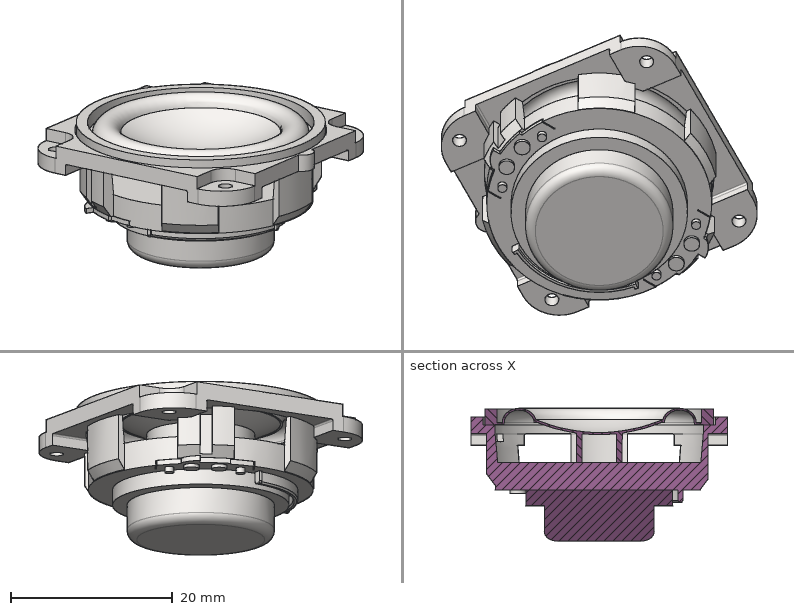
import cadquery as cq
import math

PLATE_BOTTOM = 4.38
BASKET_BOTTOM = 6.3
FLOOR_TOP = 9.75
EAR_BOTTOM = 11.85
FLANGE_BOTTOM = 13.28
EAR_TOP = 13.8
SEAT_HEIGHT = 14.4
FLANGE_TOP = 15.37
RIM_TOP = 16.35
ROLL_TOP = 16.45

OVERALL_LENGTH = 32.7
FLANGE_SIZE = 31.7
CORNER_RADIUS = 5.05
HOLE_OFFSET = 12.9
HOLE_DIAMETER = 1.7
POCKET_RADIUS = 2.2
NOTCH_WIDTH = 18.48
NOTCH_FILLET = 0.23
SEAT_DIAMETER = 31.1
NUB_RADIUS = 1.55
NUB_REACH = OVERALL_LENGTH - FLANGE_SIZE / 2

BASKET_RADIUS = 13.9
BORE_TOP_RADIUS = 14.2
LEG_COUNT = 6
LEG_WIDTH = 7.03
LEG_RADIUS = 14.75
WIDE_LEG_RADIUS = 15.2
LEG_FOOT_RADIUS = 13.83
LEG_TAPER = 1.48
WIRE_SLOT_WIDTH = 1.5
WIRE_SLOT_FLOOR = 14.52
WIRE_WINDOW_BOTTOM = 12.33

TERMINAL_ANGLES = (60, 240)
BOARD_TOP = 6.93
BOARD_WIDTH = 11.97
BOARD_RADIUS = 13.83
BOARD_GAP = 0.13
BOARD_INNER = 10.63
BOARD_STEP_WIDTH = 6.08
BOARD_STEP_RADIUS = 14.22
TAB_MIDDLE = (14.8, 2.05)
STAKE_DIAMETER = 1.1
STAKE_SPACING = 8.83
STAKE_DISTANCE = 11.45
STAKE_BOTTOM = 5.65
PAD_DIAMETER = 1.95
PAD_SPACING = 3.43
PAD_DISTANCE = 12.6
PAD_BOTTOM = 5.9

RIB_OUTER_RADIUS = 12.0
RIB_INNER_RADIUS = 11.4
RIB_BOTTOM = 4.8
RIB_MIDDLE_ANGLE = 315
RIB_SPAN = 83.4
RIB_BEVEL_WIDTH = 0.13
RIB_BEVEL_HEIGHT = 0.25
LUG_RADIUS = 12.35
LUG_SPAN = 1.8

RIM_DIAMETER = 30.8
RIM_BORE = 28.0
ROLL_OUTER_RADIUS = 13.45
ROLL_SECTION_RADIUS = 1.8
ROLL_THICKNESS = 0.25
DISH_RADIUS = 10.0
DISH_EDGE_HEIGHT = 15.1
DISH_DEPTH = 2.52
DISH_THICKNESS = 0.33
COIL_DIAMETER = 13.37
COIL_BORE = 12.8

PLATE_DIAMETER = 21.8
CUP_DIAMETER = 18.2
CUP_FILLET = 1.2


def disc(diameter, bottom, top):
    """Upright cylinder on the Z axis."""
    return cq.Workplane("XY").workplane(offset=bottom).circle(diameter / 2).extrude(top - bottom)


def block(x_min, x_max, width, bottom, top):
    """Box from x_min to x_max, centred on the X axis."""
    box = cq.Workplane("XY").box(x_max - x_min, width, top - bottom, centered=(False, True, False))
    return box.translate((x_min, 0, bottom))


def turned(body, angle):
    """Copy of a body, turned about the Z axis."""
    return body.rotate((0, 0, 0), (0, 0, 1), angle)


def make_flange():
    """Square flange with lowered, rounded ears at its corners and a nub on the +X side."""
    half = FLANGE_SIZE / 2
    ears = (
        cq.Workplane("XY").workplane(offset=EAR_BOTTOM).rect(FLANGE_SIZE, FLANGE_SIZE)
        .extrude(FLANGE_TOP - EAR_BOTTOM)
        .edges("|Z").fillet(CORNER_RADIUS)
    )
    pocket_size = half - HOLE_OFFSET + POCKET_RADIUS
    pocket_middle = half - pocket_size / 2
    pocket = (
        cq.Workplane("XY").workplane(offset=EAR_TOP).center(pocket_middle, pocket_middle)
        .rect(pocket_size, pocket_size).extrude(FLANGE_TOP - EAR_TOP)
        .edges("|Z and <X and <Y").fillet(POCKET_RADIUS)
    )
    flange = ears
    for quarter in range(4):
        flange = flange.cut(turned(pocket, 90 * quarter))
    holes = (
        cq.Workplane("XY").workplane(offset=EAR_BOTTOM)
        .rect(2 * HOLE_OFFSET, 2 * HOLE_OFFSET, forConstruction=True).vertices()
        .circle(HOLE_DIAMETER / 2).extrude(FLANGE_TOP - EAR_BOTTOM)
    )
    notch = block(-half, half, NOTCH_WIDTH, EAR_BOTTOM, FLANGE_BOTTOM).edges("|X and >Z").fillet(NOTCH_FILLET)
    nub = disc(2 * NUB_RADIUS, FLANGE_BOTTOM, FLANGE_TOP).translate((NUB_REACH - NUB_RADIUS, 0, 0))
    return flange.cut(holes).cut(notch).cut(turned(notch, 90)).union(nub)


def make_leg(radius):
    """Leg along +X: parallel sides, round outside and a tapered foot."""
    taper_height = LEG_TAPER * (radius - LEG_FOOT_RADIUS)
    turned_shape = (
        cq.Workplane("XZ").moveTo(0, BASKET_BOTTOM).lineTo(LEG_FOOT_RADIUS, BASKET_BOTTOM)
        .lineTo(radius, BASKET_BOTTOM + taper_height).lineTo(radius, FLANGE_BOTTOM)
        .lineTo(0, FLANGE_BOTTOM).close().revolve(360, (0, 0, 0), (0, 1, 0))
    )
    return turned_shape.intersect(block(0, radius, LEG_WIDTH, BASKET_BOTTOM, FLANGE_BOTTOM))


def make_wide_leg():
    """Thicker leg with a wire slot down its outside that breaks through near the top."""
    slot = block(WIRE_SLOT_FLOOR, WIDE_LEG_RADIUS, WIRE_SLOT_WIDTH, BOARD_TOP, FLANGE_BOTTOM)
    window = block(0, WIDE_LEG_RADIUS, WIRE_SLOT_WIDTH, WIRE_WINDOW_BOTTOM, FLANGE_BOTTOM)
    foot = disc(2 * WIDE_LEG_RADIUS, BASKET_BOTTOM, BOARD_TOP)
    return make_leg(WIDE_LEG_RADIUS).cut(slot).cut(window).cut(foot)


def make_bore():
    """Tapered space inside the legs and the flange."""
    return (
        cq.Workplane("XZ").moveTo(0, FLOOR_TOP).lineTo(BASKET_RADIUS, FLOOR_TOP)
        .lineTo(BORE_TOP_RADIUS, FLANGE_BOTTOM).lineTo(BORE_TOP_RADIUS, FLANGE_TOP)
        .lineTo(0, FLANGE_TOP).close().revolve(360, (0, 0, 0), (0, 1, 0))
    )


def make_board_notch():
    """Notch in the basket's lower edge around a terminal board, on the +X side."""
    width = BOARD_WIDTH + 2 * BOARD_GAP
    return block(BOARD_INNER, BASKET_RADIUS, width, BASKET_BOTTOM, BOARD_TOP)


def make_terminal():
    """Board with a rounded tab, two stakes and two solder pads, on the +X side."""
    board = disc(2 * BOARD_RADIUS, BASKET_BOTTOM, BOARD_TOP).intersect(
        block(BOARD_INNER, BOARD_RADIUS, BOARD_WIDTH, BASKET_BOTTOM, BOARD_TOP)
    )
    step = disc(2 * BOARD_STEP_RADIUS, BASKET_BOTTOM, BOARD_TOP).intersect(
        block(BOARD_INNER, BOARD_STEP_RADIUS, BOARD_STEP_WIDTH, BASKET_BOTTOM, BOARD_TOP)
    )
    tab_side = -WIRE_SLOT_WIDTH / 2
    tab_end = -BOARD_STEP_WIDTH / 2
    step_corner = math.sqrt(BOARD_STEP_RADIUS**2 - tab_end**2)
    tab = (
        cq.Workplane("XY").workplane(offset=BASKET_BOTTOM)
        .moveTo(BOARD_INNER, tab_end).lineTo(step_corner, tab_end)
        .threePointArc((TAB_MIDDLE[0], -TAB_MIDDLE[1]), (WIDE_LEG_RADIUS, tab_side))
        .lineTo(BOARD_INNER, tab_side).close().extrude(BOARD_TOP - BASKET_BOTTOM)
    )
    terminal = board.union(step).union(tab)
    for side in (-1, 1):
        stake = disc(STAKE_DIAMETER, STAKE_BOTTOM, BOARD_TOP)
        pad = disc(PAD_DIAMETER, PAD_BOTTOM, BOARD_TOP)
        terminal = terminal.union(stake.translate((STAKE_DISTANCE, side * STAKE_SPACING / 2, 0)))
        terminal = terminal.union(pad.translate((PAD_DISTANCE, side * PAD_SPACING / 2, 0)))
    return terminal


def make_arc_wall(outer_radius, span, middle_angle):
    """Arc-shaped wall below the basket, beveled along both lower edges."""
    bevel_top = RIB_BOTTOM + RIB_BEVEL_HEIGHT
    wall = (
        cq.Workplane("XZ").moveTo(RIB_INNER_RADIUS + RIB_BEVEL_WIDTH, RIB_BOTTOM)
        .lineTo(outer_radius - RIB_BEVEL_WIDTH, RIB_BOTTOM).lineTo(outer_radius, bevel_top)
        .lineTo(outer_radius, BASKET_BOTTOM).lineTo(RIB_INNER_RADIUS, BASKET_BOTTOM)
        .lineTo(RIB_INNER_RADIUS, bevel_top)
        .close().revolve(span, (0, 0, 0), (0, -1, 0))
    )
    return turned(wall, middle_angle + span / 2)


def make_rib():
    """Arc-shaped rib with a thicker lug at each end."""
    rib = make_arc_wall(RIB_OUTER_RADIUS, RIB_SPAN, RIB_MIDDLE_ANGLE)
    lug_offset = (RIB_SPAN - LUG_SPAN) / 2
    for side in (-1, 1):
        rib = rib.union(make_arc_wall(LUG_RADIUS, LUG_SPAN, RIB_MIDDLE_ANGLE + side * lug_offset))
    return rib


def make_frame():
    """Flange, legs, basket floor, terminals and rib as one solid."""
    frame = make_flange()
    for index in range(LEG_COUNT):
        angle = 360 / LEG_COUNT * index
        leg = make_wide_leg() if angle in TERMINAL_ANGLES else make_leg(LEG_RADIUS)
        frame = frame.union(turned(leg, angle))
    frame = frame.cut(make_bore()).cut(disc(SEAT_DIAMETER, SEAT_HEIGHT, FLANGE_TOP))
    floor = disc(2 * BASKET_RADIUS, BASKET_BOTTOM, FLOOR_TOP)
    for angle in TERMINAL_ANGLES:
        floor = floor.cut(turned(make_board_notch(), angle)).union(turned(make_terminal(), angle))
    return frame.union(floor).union(make_rib())


def make_diaphragm():
    """Rim, half-round roll, dished cone and voice coil as one solid."""
    roll_base = ROLL_TOP - ROLL_SECTION_RADIUS
    roll_middle = ROLL_OUTER_RADIUS - ROLL_SECTION_RADIUS
    rim = disc(RIM_DIAMETER, SEAT_HEIGHT, RIM_TOP).cut(disc(RIM_BORE, SEAT_HEIGHT, RIM_TOP))
    lip_bore = 2 * (ROLL_OUTER_RADIUS - ROLL_THICKNESS)
    lip = disc(RIM_DIAMETER, SEAT_HEIGHT, roll_base).cut(disc(lip_bore, SEAT_HEIGHT, roll_base))
    inner_section = ROLL_SECTION_RADIUS - ROLL_THICKNESS
    roll = (
        cq.Workplane("XZ").moveTo(roll_middle + ROLL_SECTION_RADIUS, roll_base)
        .threePointArc((roll_middle, ROLL_TOP), (roll_middle - ROLL_SECTION_RADIUS, roll_base))
        .lineTo(roll_middle - inner_section, roll_base)
        .threePointArc((roll_middle, roll_base + inner_section), (roll_middle + inner_section, roll_base))
        .close().revolve(360, (0, 0, 0), (0, 1, 0))
    )

    sphere_radius = (DISH_RADIUS**2 + DISH_DEPTH**2) / (2 * DISH_DEPTH)
    dish_bottom = DISH_EDGE_HEIGHT - DISH_DEPTH

    def dish_height(radius):
        return dish_bottom + sphere_radius - math.sqrt(sphere_radius**2 - radius**2)

    halfway = DISH_RADIUS / 2
    dish = (
        cq.Workplane("XZ").moveTo(0, dish_bottom)
        .threePointArc((halfway, dish_height(halfway)), (DISH_RADIUS, DISH_EDGE_HEIGHT))
        .lineTo(DISH_RADIUS, DISH_EDGE_HEIGHT - DISH_THICKNESS)
        .threePointArc((halfway, dish_height(halfway) - DISH_THICKNESS), (0, dish_bottom - DISH_THICKNESS))
        .close().revolve(360, (0, 0, 0), (0, 1, 0))
    )
    coil_top = dish_height(COIL_BORE / 2) - DISH_THICKNESS / 2
    coil = disc(COIL_DIAMETER, FLOOR_TOP, coil_top).cut(disc(COIL_BORE, FLOOR_TOP, coil_top))
    return rim.union(lip).union(roll).union(dish).union(coil)


def make_motor():
    """Magnet cup with a rounded bottom edge, under a wider top plate."""
    cup = disc(CUP_DIAMETER, 0, PLATE_BOTTOM).faces("<Z").edges().fillet(CUP_FILLET)
    return cup.union(disc(PLATE_DIAMETER, PLATE_BOTTOM, BASKET_BOTTOM))


frame = make_frame()
diaphragm = make_diaphragm()
motor = make_motor()

result = cq.Compound.makeCompound([body.solids().val() for body in (frame, diaphragm, motor)])